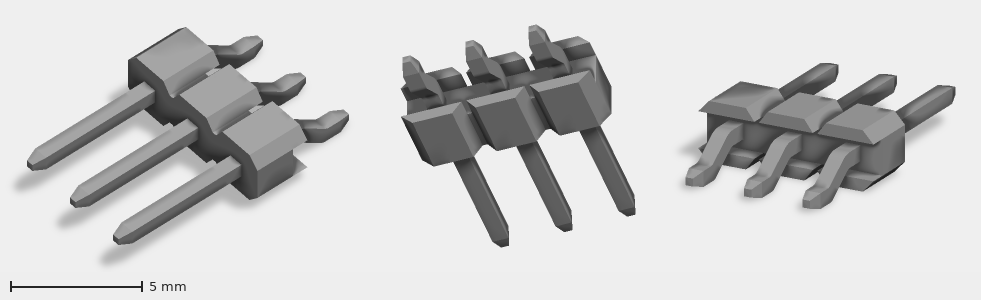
import cadquery as cq
import math

pin_count = 3
pitch = 2.54
housing_depth = 2.5
housing_height = 2.5
housing_front = 0.24
block_top_width = 1.6
web_height = 1.5
notch_floor_width = 0.2
recess_depth = 0.71

pin_width = 0.64
tip_width = 0.32
tip_length = 0.55
pin_length = 11.5
bend_angle = 35.0
upper_bend_end = 2.88
upper_bend_radius = 1.0
foot_bend_radius = 0.36

housing_rear = housing_front + housing_depth
housing_length = pin_count * pitch
half_length = housing_length / 2
half_height = housing_height / 2
half_web = web_height / 2
half_pin = pin_width / 2
pin_front = -pin_length / 2
pin_rear = pin_length / 2
foot_axis_z = half_pin - half_height
pin_positions = [(i - (pin_count - 1) / 2) * pitch for i in range(pin_count)]


def housing():
    """Bevelled row of blocks, with a slot across the rear face."""
    upper_edge = [(-half_length, half_web)]
    for x in pin_positions:
        upper_edge.append((x - block_top_width / 2, half_height))
        upper_edge.append((x + block_top_width / 2, half_height))
        if x != pin_positions[-1]:
            notch_x = x + pitch / 2
            upper_edge.append((notch_x - notch_floor_width / 2, half_web))
            upper_edge.append((notch_x + notch_floor_width / 2, half_web))
    upper_edge.append((half_length, half_web))
    lower_edge = [(x, -z) for x, z in reversed(upper_edge)]

    body = (
        cq.Workplane("XZ", origin=(0, housing_rear, 0))
        .polyline(upper_edge + lower_edge)
        .close()
        .extrude(housing_depth)
    )
    slot = cq.Workplane("XY").box(housing_length, recess_depth, web_height)
    return body.cut(slot.translate((0, housing_rear - recess_depth / 2, 0)))


def tip(base_y, axis_z, direction):
    """Four-sided taper from the pin section to a smaller square end."""
    plane = cq.Plane(origin=(0, base_y, axis_z), xDir=(1, 0, 0), normal=(0, direction, 0))
    return (
        cq.Workplane(plane)
        .rect(pin_width, pin_width)
        .workplane(offset=tip_length)
        .rect(tip_width, tip_width)
        .loft(ruled=True)
    )


def pin():
    """Straight pin along Y that steps down to the foot behind the housing."""
    angle = math.radians(bend_angle)
    drop = -foot_axis_z
    shank_front = pin_front + tip_length
    foot_rear = pin_rear - tip_length
    corner_shift = pin_width * math.tan(angle / 2)
    shank_top_corner = (upper_bend_end + upper_bend_radius * math.tan(angle / 2), half_pin)
    shank_bottom_corner = (shank_top_corner[0] - corner_shift, -half_pin)
    foot_top_corner = (shank_top_corner[0] + drop / math.tan(angle), foot_axis_z + half_pin)
    foot_bottom_corner = (foot_top_corner[0] - corner_shift, foot_axis_z - half_pin)

    wire = (
        cq.Workplane("YZ", origin=(-half_pin, 0, 0))
        .polyline([
            (shank_front, half_pin),
            shank_top_corner,
            foot_top_corner,
            (foot_rear, foot_axis_z + half_pin),
            (foot_rear, foot_axis_z - half_pin),
            foot_bottom_corner,
            shank_bottom_corner,
            (shank_front, -half_pin),
        ])
        .close()
        .extrude(pin_width)
    )
    bends = [
        (shank_top_corner, upper_bend_radius),
        (shank_bottom_corner, upper_bend_radius - pin_width),
        (foot_top_corner, foot_bend_radius),
        (foot_bottom_corner, foot_bend_radius),
    ]
    for (y, z), radius in bends:
        bend_edge = cq.selectors.NearestToPointSelector((0, y, z))
        wire = wire.edges("|X").edges(bend_edge).fillet(radius)
    return wire.union(tip(shank_front, 0, -1)).union(tip(foot_rear, foot_axis_z, 1))


result = housing()
for x in pin_positions:
    result = result.union(pin().translate((x, 0, 0)))